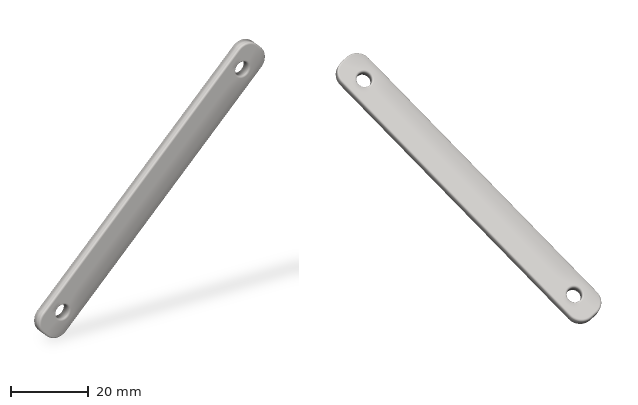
import cadquery as cq
import math

span = 69.3
thickness = 3.0
corner_radius = 4.0
end_flat = 1.95
hole_diameter = 4.0
hole_spacing = 78.0
edge_radius = 0.5
tilt = 45.0

width = end_flat + 2 * corner_radius
corner_center_span = span - 2 * corner_radius
side_flat = corner_center_span / math.cos(math.radians(tilt)) - end_flat
length = side_flat + 2 * corner_radius


def rounded_bar():
    """Flat bar lying along Y, with rounded corners and centred on the origin."""
    bar = cq.Workplane("YZ").rect(length, width).extrude(thickness / 2, both=True)
    return bar.edges("|X").fillet(corner_radius)


def drill_holes(bar):
    """Cut one through hole near each end."""
    hole_centers = [(-hole_spacing / 2, 0), (hole_spacing / 2, 0)]
    holes = (
        cq.Workplane("YZ")
        .pushPoints(hole_centers)
        .circle(hole_diameter / 2)
        .extrude(thickness, both=True)
    )
    return bar.cut(holes)


def soften_edges(bar):
    """Round the outline and hole edges on both broad faces."""
    return bar.faces("<X or >X").edges().fillet(edge_radius)


flat_bar = soften_edges(drill_holes(rounded_bar()))
result = flat_bar.rotate((0, 0, 0), (1, 0, 0), tilt)